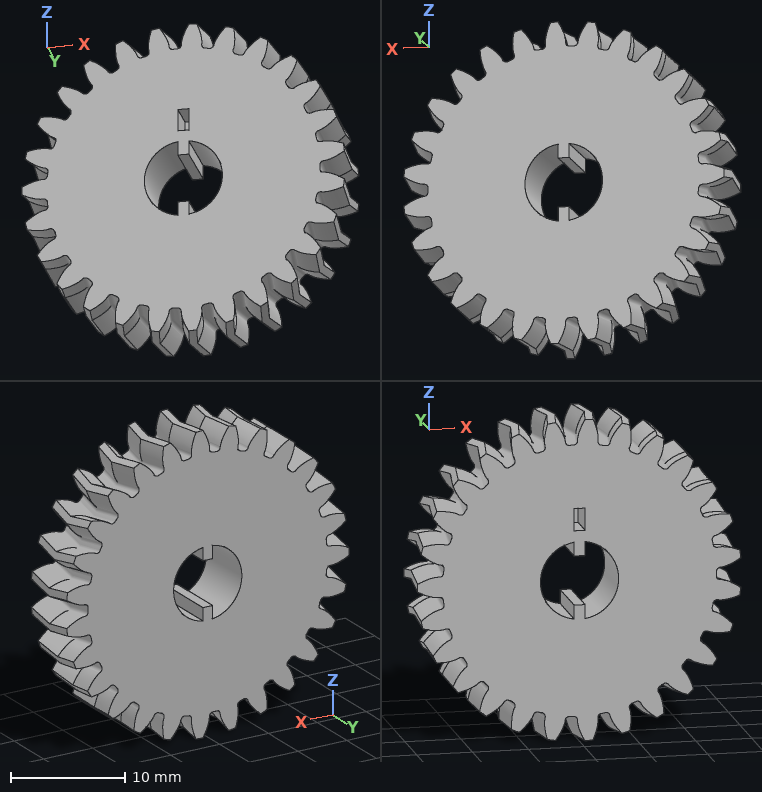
import cadquery as cq
import math


overall_height = 29.0
face_width = 6.0
half_width = face_width / 2

tooth_count = 27
pressure_angle = math.radians(20)
half_twist = math.radians(2.25)
dedendum_in_modules = 1.25
root_fillet_in_modules = 0.35
flank_steps = 6
tip_overrun = 0.15


def involute(angle):
    return math.tan(angle) - angle


tooth_pitch = 2 * math.pi / tooth_count
first_tooth_angle = math.pi
tip_roll = math.acos(tooth_count * math.cos(pressure_angle) / (tooth_count + 2))
tip_half_angle = tooth_pitch / 4 + involute(pressure_angle) - involute(tip_roll)
corner_angle = tooth_pitch / 4 - tip_half_angle
tip_radius = overall_height / (1 + math.cos(corner_angle))

module = 2 * tip_radius / (tooth_count + 2)
pitch_radius = module * tooth_count / 2
base_radius = pitch_radius * math.cos(pressure_angle)
root_radius = pitch_radius - dedendum_in_modules * module
root_fillet = root_fillet_in_modules * module
oversize_radius = tip_radius + tip_overrun

bore_diameter = 7.0
key_width = 1.0
key_tip_gap = 4.4
key_root_overlap = 0.3

pocket_bottom = 4.5
pocket_height = 2.0
pocket_depth = half_width


def polar(radius, angle):
    return (radius * math.cos(angle), radius * math.sin(angle))


def half_tooth_angle(radius):
    """Half the angle a tooth covers at a radius on its involute flank."""
    roll = math.acos(base_radius / radius)
    return tooth_pitch / 4 + involute(pressure_angle) - involute(roll)


def flank_points(center, side):
    """Points of one involute flank from the base circle past the tip; side is -1 or +1."""
    step = (oversize_radius - base_radius) / flank_steps
    radii = [base_radius + step * i for i in range(flank_steps + 1)]
    return [polar(r, center + side * half_tooth_angle(r)) for r in radii]


def root_fillet_points(center, side):
    """Fillet from the radial flank foot to the root circle: foot, middle and root points."""
    fillet_center_radius = root_radius + root_fillet
    fillet_angle = math.asin(root_fillet / fillet_center_radius)
    foot_angle = center + side * half_tooth_angle(base_radius)
    root_angle = foot_angle + side * fillet_angle
    foot = polar(fillet_center_radius * math.cos(fillet_angle), foot_angle)
    root = polar(root_radius, root_angle)
    fillet_x, fillet_y = polar(fillet_center_radius, root_angle)
    toward_x = foot[0] + root[0] - 2 * fillet_x
    toward_y = foot[1] + root[1] - 2 * fillet_y
    reach = root_fillet / math.hypot(toward_x, toward_y)
    middle = (fillet_x + toward_x * reach, fillet_y + toward_y * reach)
    return foot, middle, root


def gear_outline(rotation):
    """Closed outline of all teeth, drawn counter-clockwise about the origin."""
    first = first_tooth_angle + rotation
    outline = cq.Workplane("XY").moveTo(*root_fillet_points(first, -1)[2])
    for tooth in range(tooth_count):
        center = first + tooth * tooth_pitch
        foot, middle, _ = root_fillet_points(center, -1)
        rising = flank_points(center, -1)
        falling = flank_points(center, 1)[::-1]
        outline = outline.threePointArc(middle, foot).lineTo(*rising[0])
        outline = outline.spline(rising[1:], includeCurrent=True)
        outline = outline.threePointArc(polar(oversize_radius, center), falling[0])
        outline = outline.spline(falling[1:], includeCurrent=True)
        foot, middle, root = root_fillet_points(center, 1)
        outline = outline.lineTo(*foot).threePointArc(middle, root)
        if tooth < tooth_count - 1:
            next_root = root_fillet_points(center + tooth_pitch, -1)[2]
            gap_middle = polar(root_radius, center + tooth_pitch / 2)
            outline = outline.threePointArc(gap_middle, next_root)
    closing_root = root_fillet_points(first, -1)[2]
    outline = outline.threePointArc(polar(root_radius, first - tooth_pitch / 2), closing_root)
    return outline.close()


def toothed_body():
    """Two mirrored helical halves meeting at the mid-plane, trimmed to the round blank."""
    half = gear_outline(-half_twist).twistExtrude(half_width, math.degrees(half_twist))
    front_half = half.rotate((0, 0, 0), (1, 0, 0), 90)
    blank = cq.Workplane("XZ").circle(tip_radius).extrude(half_width, both=True)
    return front_half.union(front_half.mirror("XZ")).intersect(blank)


def keyed_bore():
    """Cutter for the bore, leaving the two opposite keys standing."""
    bore = cq.Workplane("XZ").circle(bore_diameter / 2).extrude(half_width, both=True)
    key_length = bore_diameter / 2 - key_tip_gap / 2 + key_root_overlap
    key_center = key_tip_gap / 2 + key_length / 2
    for side in (-1, 1):
        key = cq.Workplane("XY").box(key_width, face_width, key_length)
        bore = bore.cut(key.translate((0, 0, side * key_center)))
    return bore


def pocket():
    """Cutter for the rectangular pocket in the front face."""
    block = cq.Workplane("XY").box(key_width, pocket_depth, pocket_height)
    y_center = -half_width + pocket_depth / 2
    return block.translate((0, y_center, pocket_bottom + pocket_height / 2))


result = toothed_body().cut(keyed_bore()).cut(pocket())